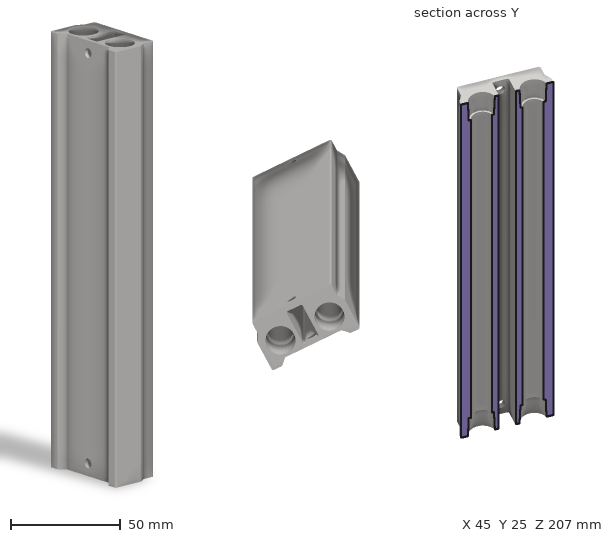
import cadquery as cq

width = 45.0
depth = 25.0
length = 207.0

back_width = 40.5
shoulder_start = 6.0
shoulder_end = 9.7
corner_radius = 0.8
foot_width = 5.0
channel_depth = 3.1

passage_width = 8.0
passage_depth = 17.4
passage_back_wall = 2.7

bore_spacing = 25.0
bore_diameter = 11.0
port_mouth_diameter = 13.7
port_bottom_diameter = 12.8
port_depth = 11.0
bore_from_back = 13.7

mount_diameter = 4.5
mount_end_distance = 6.0

front_y = -depth / 2
back_y = depth / 2
bore_y = back_y - bore_from_back


def profile_body():
    half_width = width / 2
    half_back = back_width / 2
    foot_inner = half_width - foot_width
    half_outline = [
        (foot_inner - channel_depth, front_y + channel_depth),
        (foot_inner, front_y),
        (half_width, front_y),
        (half_width, back_y - shoulder_end),
        (half_back, back_y - shoulder_start),
        (half_back, back_y),
    ]
    mirrored = [(-x, y) for x, y in reversed(half_outline)]
    return (
        cq.Workplane("XY")
        .polyline(half_outline + mirrored)
        .close()
        .extrude(length)
        .edges("|Z")
        .fillet(corner_radius)
    )


def passage():
    center_y = back_y - passage_back_wall - passage_depth / 2
    return (
        cq.Workplane("XY")
        .center(0, center_y)
        .rect(passage_width, passage_depth)
        .extrude(length)
        .edges("|Z")
        .fillet(corner_radius)
    )


def ported_bore(x):
    bore_radius = bore_diameter / 2
    mouth_radius = port_mouth_diameter / 2
    bottom_radius = port_bottom_diameter / 2
    half_section = [
        (0, 0),
        (mouth_radius, 0),
        (bottom_radius, port_depth),
        (bore_radius, port_depth),
        (bore_radius, length - port_depth),
        (bottom_radius, length - port_depth),
        (mouth_radius, length),
        (0, length),
    ]
    return (
        cq.Workplane("XZ", origin=(x, bore_y, 0))
        .polyline(half_section)
        .close()
        .revolve(360, (0, 0), (0, 1))
    )


def mounting_hole(z):
    return (
        cq.Workplane("XZ", origin=(0, back_y, z))
        .circle(mount_diameter / 2)
        .extrude(depth)
    )


result = profile_body().cut(passage())
for bore_x in (-bore_spacing / 2, bore_spacing / 2):
    result = result.cut(ported_bore(bore_x))
for mount_z in (mount_end_distance, length - mount_end_distance):
    result = result.cut(mounting_hole(mount_z))